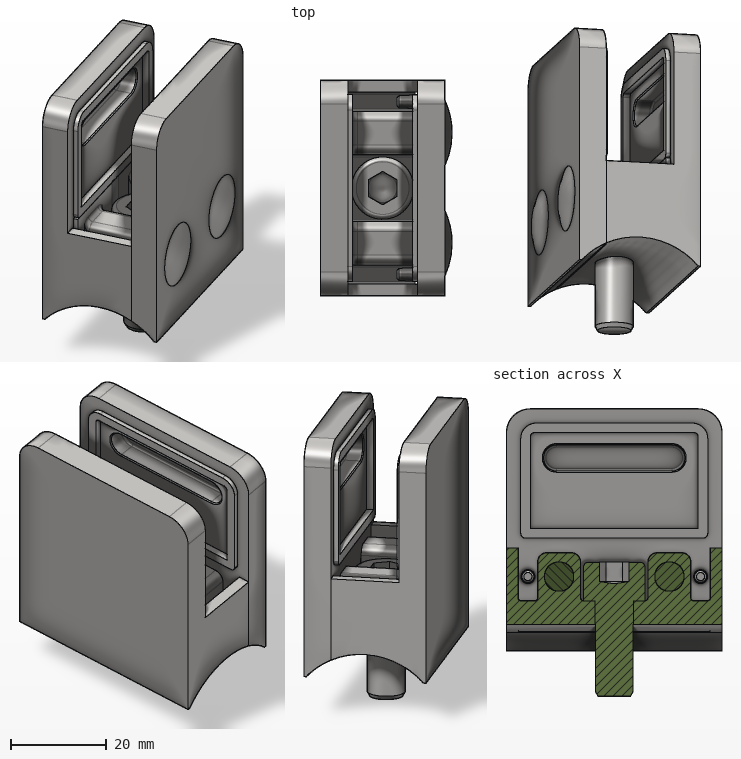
import cadquery as cq
import math

block_width = 26.0
block_length = 45.0
block_height = 50.5
corner_radius = 5.0
wall_thickness = 5.75
glass_slot_depth = 29.0
saddle_radius = 16.85
saddle_crown_depth = 45.0
edge_margin = 0.01

half_width = block_width / 2
slot_half = half_width - wall_thickness
shelf_z = block_height - glass_slot_depth
saddle_crown_z = block_height - saddle_crown_depth

chamber_length = 40.0
chamber_depth = 11.0
chamber_floor_fillet = 0.5
joint_relief = 0.5
floor_z = shelf_z - chamber_depth

pad_inset = 3.0
pad_length = block_length - 2 * pad_inset
pad_height = 24.0
pad_protrusion = 1.0
pad_embedment = 0.5
pad_top_radius = 3.2
pad_bottom_radius = 1.0
pad_frame_width = 2.0
window_top_radius = 0.8
pad_face_x = slot_half - pad_protrusion
pad_seat_x = slot_half + pad_embedment
ledge_x = -pad_face_x
pad_top_z = block_height - pad_inset
pad_bottom_z = pad_top_z - pad_height

key_slot_travel = 24.0
key_slot_width = 5.5
key_slot_depth = 4.0
key_slot_floor_fillet = 0.5
key_slot_mouth_chamfer = 0.25
key_slot_z = block_height - 10.25

boss_spacing = 23.0
boss_width = 9.0
boss_drop = 1.0
boss_edge_fillet = 2.0
boss_root_fillet = 1.0
button_screw_z = block_height - 35.0
boss_top_z = shelf_z - boss_drop
button_screw_positions = [-boss_spacing / 2, boss_spacing / 2]
button_head_diameter = 13.6
button_head_height = 1.5
button_shank_diameter = 6.0
button_shank_length = 20.0

pin_spacing = 36.0
pin_base_diameter = 2.9
pin_tip_diameter = 2.5
pin_length = 4.25
pin_tip_chamfer = 0.4

shank_diameter = 8.0
shank_length = 20.0
shank_tip_length = 0.9
shank_tip_inset = 0.5
head_diameter = 13.0
head_height = 8.0
head_edge_fillet = 1.0
hex_across_flats = 6.0
hex_depth = 4.0
hex_drill_angle = 160.0


def block_outline():
    """Full block with its top corners rounded and the tube saddle cut from below."""
    block = (
        cq.Workplane("XY")
        .box(block_width, block_length, block_height, centered=(True, True, False))
        .edges("|X and >Z")
        .fillet(corner_radius)
    )
    saddle = (
        cq.Workplane("XZ")
        .center(0, saddle_crown_z - saddle_radius)
        .circle(saddle_radius)
        .extrude(block_length, both=True)
    )
    return block.cut(saddle)


def slab(x_start, x_end):
    """Box between two X positions, larger than the block in Y and Z."""
    return upright_box(x_start, x_end, 2 * block_length, -block_height, 2 * block_height)


def x_cylinder(diameter, x_start, length, y, z):
    return cq.Workplane("YZ", origin=(x_start, y, z)).circle(diameter / 2).extrude(length)


def upright_box(x_start, x_end, length, z_bottom, z_top):
    """Box centred on Y, given by its X and Z limits."""
    return cq.Workplane("XY").box(
        x_end - x_start, length, z_top - z_bottom, centered=(False, True, False)
    ).translate((x_start, 0, z_bottom))


def make_boss(y):
    """Boss across the chamber: rounded along its top edges and blended into the pad ledge."""
    bar = (
        upright_box(-slot_half, slot_half, boss_width, floor_z, boss_top_z)
        .edges("|X and >Z")
        .fillet(boss_edge_fillet)
    )
    ledge_stub = upright_box(-slot_half, ledge_x, 2 * boss_width, floor_z, boss_top_z + boss_width)
    root_strip = cq.selectors.BoxSelector(
        (ledge_x - edge_margin, -boss_width / 2 - edge_margin, floor_z + edge_margin),
        (ledge_x + edge_margin, boss_width / 2 + edge_margin, boss_top_z + edge_margin),
        boundingbox=False,
    )
    blended = bar.union(ledge_stub).edges(root_strip).fillet(boss_root_fillet)
    envelope = upright_box(-slot_half, slot_half, boss_width, floor_z, boss_top_z + boss_root_fillet)
    return blended.intersect(envelope).translate((0, y, 0))


def make_housing():
    """Back wall and base in one piece, with the screw chamber open towards the cover plate."""
    housing = block_outline().intersect(slab(-half_width, slot_half))
    glass_slot = upright_box(-slot_half, slot_half, block_length, shelf_z, block_height)
    chamber = upright_box(-slot_half, slot_half, chamber_length, floor_z, shelf_z)
    pad_ledge = upright_box(-slot_half, ledge_x, pad_length, floor_z, pad_bottom_z)
    housing = housing.cut(make_wall_pocket().mirror("YZ")).cut(glass_slot).cut(chamber)
    for y in button_screw_positions:
        housing = housing.union(make_boss(y))
    floor_strip = cq.selectors.BoxSelector(
        (-half_width, -chamber_length, floor_z - edge_margin),
        (half_width, chamber_length, floor_z + edge_margin),
        boundingbox=True,
    )
    housing = housing.edges(floor_strip).edges("|X").fillet(chamber_floor_fillet)
    housing = housing.union(pad_ledge)
    relief = upright_box(slot_half - joint_relief, slot_half, chamber_length, 0, shelf_z)
    housing = housing.cut(relief)
    head_room = cq.Workplane("XY", origin=(0, 0, floor_z)).circle(head_diameter / 2).extrude(block_height)
    shank_hole = cq.Workplane("XY").circle(shank_diameter / 2).extrude(block_height)
    housing = housing.cut(head_room).cut(shank_hole)
    for y in button_screw_positions:
        housing = housing.cut(button_shank(y))
    return housing


def button_shank(y):
    x_start = half_width - button_shank_length
    return x_cylinder(button_shank_diameter, x_start, button_shank_length, y, button_screw_z)


def make_locating_pin(y):
    """Tapered pin with a chamfered tip, pointing from the cover plate into the chamber."""
    base_radius = pin_base_diameter / 2
    tip_radius = pin_tip_diameter / 2
    profile = [
        (0, 0),
        (0, base_radius),
        (pin_tip_chamfer - pin_length, tip_radius),
        (-pin_length, tip_radius - pin_tip_chamfer),
        (-pin_length, 0),
    ]
    pin = cq.Workplane("XY").polyline(profile).close().revolve(360, (0, 0, 0), (1, 0, 0))
    return pin.translate((slot_half, y, button_screw_z))


def rounded_panel(x_start, x_end, inset, top_radius):
    """Upright panel lying inside the pad outline by the given inset, rounded at its top corners."""
    return (
        upright_box(x_start, x_end, pad_length - 2 * inset, pad_bottom_z + inset, pad_top_z - inset)
        .edges("|X and >Z")
        .fillet(top_radius)
    )


def make_pad_blank():
    """Pad outline of the +X wall without its window: large top corners and small bottom corners."""
    blank = rounded_panel(pad_face_x, pad_seat_x, 0, pad_top_radius)
    return blank.edges("|X and <Z").fillet(pad_bottom_radius)


def make_pad():
    """Rectangular frame seated in the +X wall and standing out into the glass slot."""
    window = rounded_panel(pad_face_x, pad_seat_x, pad_frame_width, window_top_radius)
    return make_pad_blank().cut(window)


def make_wall_pocket():
    """Pad seat cut into the +X wall, with a blind obround slot sunk into its floor and chamfered."""
    slot = (
        cq.Workplane("YZ", origin=(pad_seat_x, 0, key_slot_z))
        .slot2D(key_slot_travel + key_slot_width, key_slot_width)
        .extrude(key_slot_depth)
        .faces(">X")
        .edges()
        .fillet(key_slot_floor_fillet)
    )
    mouth = cq.selectors.BoxSelector(
        (pad_seat_x - edge_margin, -key_slot_travel, key_slot_z - key_slot_width),
        (pad_seat_x + edge_margin, key_slot_travel, key_slot_z + key_slot_width),
        boundingbox=True,
    )
    return make_pad_blank().union(slot).edges(mouth).chamfer(key_slot_mouth_chamfer)


def make_cover_plate():
    plate = block_outline().intersect(slab(slot_half, half_width))
    plate = plate.cut(make_wall_pocket())
    for side in (-1, 1):
        plate = plate.union(make_locating_pin(side * pin_spacing / 2))
    for y in button_screw_positions:
        plate = plate.cut(button_shank(y))
    return plate


def make_button_screw(y):
    """Plain shank under a domed head that rests on the cover plate."""
    head_radius = button_head_diameter / 2
    dome_radius = (head_radius**2 + button_head_height**2) / (2 * button_head_height)
    mid_angle = math.asin(head_radius / dome_radius) / 2
    dome_mid = (
        button_head_height - dome_radius * (1 - math.cos(mid_angle)),
        dome_radius * math.sin(mid_angle),
    )
    dome = (
        cq.Workplane("XY")
        .lineTo(0, head_radius)
        .threePointArc(dome_mid, (button_head_height, 0))
        .close()
        .revolve(360, (0, 0, 0), (1, 0, 0))
        .translate((half_width, y, button_screw_z))
    )
    return dome.union(button_shank(y))


def make_socket_screw():
    head_top_z = floor_z + head_height
    head = (
        cq.Workplane("XY", origin=(0, 0, floor_z))
        .circle(head_diameter / 2)
        .extrude(head_height)
        .faces(">Z")
        .edges()
        .fillet(head_edge_fillet)
    )
    shank = (
        cq.Workplane("XY", origin=(0, 0, floor_z))
        .circle(shank_diameter / 2)
        .extrude(-shank_length)
        .faces("<Z")
        .chamfer(shank_tip_length, shank_tip_inset)
    )
    hex_corner_radius = hex_across_flats / math.sqrt(3)
    hex_socket = (
        cq.Workplane("XY", origin=(0, 0, head_top_z))
        .polygon(6, 2 * hex_corner_radius)
        .extrude(-hex_depth)
        .rotate((0, 0, 0), (0, 0, 1), 30)
    )
    drill_radius = hex_across_flats / 2
    drill_tip_depth = drill_radius / math.tan(math.radians(hex_drill_angle / 2))
    drill_tip = (
        cq.Workplane("XZ", origin=(0, 0, head_top_z - hex_depth))
        .polyline([(0, 0), (drill_radius, 0), (0, -drill_tip_depth)])
        .close()
        .revolve(360, (0, 0, 0), (0, 1, 0))
    )
    return head.union(shank).cut(hex_socket).cut(drill_tip)


housing = make_housing()
cover_plate = make_cover_plate()
pads = [make_pad(), make_pad().mirror("YZ")]
button_screws = [make_button_screw(y) for y in button_screw_positions]
socket_screw = make_socket_screw()

result = cq.Compound.makeCompound([
    housing.val(),
    cover_plate.val(),
    *[pad.val() for pad in pads],
    *[screw.val() for screw in button_screws],
    socket_screw.val(),
])